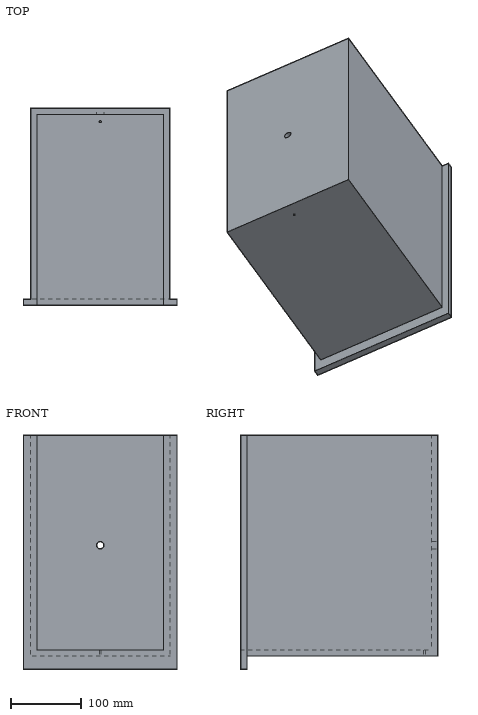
import cadquery as cq

flange_width = 218.0
depth = 280.0
height = 333.0

wall = 9.0
flange_thickness = 9.0
flange_overhang = 10.0
flange_drop = 19.0
floor_thickness = 9.0

back_hole_diameter = 10.0
back_hole_height = 176.5
floor_hole_diameter = 2.5
floor_hole_from_back = 19.0

body_width = flange_width - 2 * flange_overhang
cavity_width = body_width - 2 * wall
cavity_floor = flange_drop + floor_thickness


def block(width, front, back, bottom):
    """Box centred on X, spanning front to back in Y and bottom to the top in Z."""
    return (
        cq.Workplane("XY")
        .box(width, back - front, height - bottom, centered=(True, False, False))
        .translate((0, front, bottom))
    )


body = block(body_width, 0, depth, flange_drop)
flange = block(flange_width, 0, flange_thickness, 0)

cavity = block(cavity_width, 0, depth - wall, cavity_floor)

back_hole = (
    cq.Workplane("XZ", origin=(0, depth, back_hole_height))
    .circle(back_hole_diameter / 2)
    .extrude(wall)
)

floor_hole = (
    cq.Workplane("XY", origin=(0, depth - floor_hole_from_back, flange_drop))
    .circle(floor_hole_diameter / 2)
    .extrude(floor_thickness)
)

result = body.union(flange).cut(cavity).cut(back_hole).cut(floor_hole)